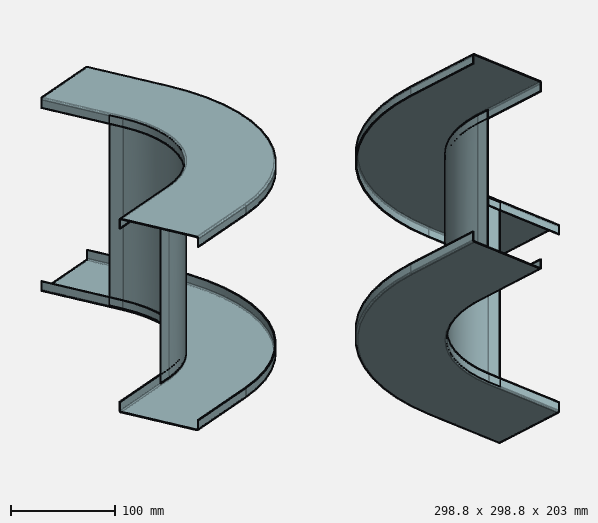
import cadquery as cq
import math

OVERALL_WIDTH = 298.8
OVERALL_HEIGHT = 203.0
TRAY_WIDTH = 87.8
FLANGE_HEIGHT = 10.8
SHEET_THICKNESS = 1.0
BEND_RADIUS = 2.0
LEG_LENGTH = 90.2
WALL_LEG_LENGTH = 15.0

INNER_RADIUS = OVERALL_WIDTH - LEG_LENGTH - TRAY_WIDTH
INSIDE_BEND_RADIUS = BEND_RADIUS - SHEET_THICKNESS
TRAY_BOTTOM = -OVERALL_HEIGHT / 2
WALL_BOTTOM = TRAY_BOTTOM + BEND_RADIUS
WALL_HEIGHT = OVERALL_HEIGHT - 2 * BEND_RADIUS

TURN_CENTRE = LEG_LENGTH - OVERALL_WIDTH / 2


def elbow_prism(inner_radius, width, leg_length, bottom, height):
    """Vertical prism over a quarter-turn strip that has a straight leg at each end."""
    outer_radius = inner_radius + width
    inner_middle = inner_radius * math.sqrt(0.5)
    outer_middle = outer_radius * math.sqrt(0.5)
    return (
        cq.Workplane("XY", origin=(TURN_CENTRE, TURN_CENTRE, bottom))
        .moveTo(-leg_length, inner_radius)
        .lineTo(0, inner_radius)
        .threePointArc((inner_middle, inner_middle), (inner_radius, 0))
        .lineTo(inner_radius, -leg_length)
        .lineTo(outer_radius, -leg_length)
        .lineTo(outer_radius, 0)
        .threePointArc((outer_middle, outer_middle), (0, outer_radius))
        .lineTo(-leg_length, outer_radius)
        .close()
        .extrude(height)
    )


def round_long_bottom_edges(prism, radius):
    """Round the bottom edges that run along the elbow; those across its ends stay sharp."""
    return prism.faces("<Z").edges("not (<X or <Y)").fillet(radius)


def make_lower_tray():
    """Channel with its flanges pointing up and a rounded bend along each side."""
    blank = elbow_prism(INNER_RADIUS, TRAY_WIDTH, LEG_LENGTH, TRAY_BOTTOM, FLANGE_HEIGHT)
    channel = elbow_prism(
        INNER_RADIUS + SHEET_THICKNESS,
        TRAY_WIDTH - 2 * SHEET_THICKNESS,
        LEG_LENGTH,
        TRAY_BOTTOM + SHEET_THICKNESS,
        FLANGE_HEIGHT - SHEET_THICKNESS,
    )
    rounded_blank = round_long_bottom_edges(blank, BEND_RADIUS)
    rounded_channel = round_long_bottom_edges(channel, INSIDE_BEND_RADIUS)
    return rounded_blank.cut(rounded_channel)


def make_tray(is_upper):
    """One tray; the upper one is the lower one mirrored, so its flanges point down."""
    tray = make_lower_tray()
    if is_upper:
        tray = tray.mirror("XY")
    return tray


def make_wall():
    """Curved sheet against the inside of both trays' inner flanges, clear of their bends."""
    return elbow_prism(
        INNER_RADIUS + SHEET_THICKNESS,
        SHEET_THICKNESS,
        WALL_LEG_LENGTH,
        WALL_BOTTOM,
        WALL_HEIGHT,
    )


trays = [make_tray(is_upper) for is_upper in (False, True)]
wall = make_wall()

result = cq.Compound.makeCompound([*(tray.solids().val() for tray in trays), wall.val()])